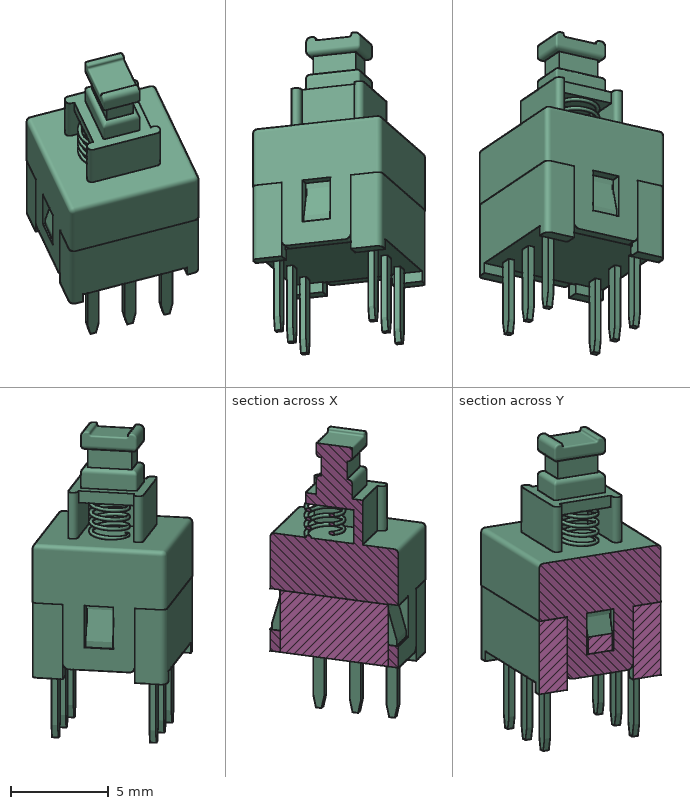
import cadquery as cq


FOOT_BOTTOM = 3.48
BASE_UNDERSIDE = 4.02
SEAM = 7.43
COVER_TOP = 10.51
GUIDE_CEILING = 12.33
GUIDE_TOP = 12.95
COLLAR_TOP = 13.99
HEAD_BOTTOM = 14.96
HEAD_TOP = 15.95

BODY_WIDTH = 7.0
COVER_ROUND = 0.25
BASE_ROUND = 0.3
POST_WIDTH = 1.63
FOOT_DEPTH = 0.69
FLAP_WIDTH = BODY_WIDTH - 2 * POST_WIDTH
FLAP_THICKNESS = 0.56
FLAP_CORNER_ROUND = 0.3

WINDOW_WIDTH = 1.52
WINDOW_BOTTOM = 5.22
CATCH_WIDTH = 1.4
CATCH_SETBACK = 0.104
CATCH_SLOPE_BOTTOM = 5.55
CATCH_SLOPE_TOP = 7.11

PIN_THICKNESS = 0.33
PIN_WIDTH = 0.6
PIN_TIP_WIDTH = 0.3
PIN_TAPER_HEIGHT = 0.7
PIN_ROW_X = 2.55
PIN_PITCH_Y = 2.0

GUIDE_WIDTH = 3.92
GUIDE_WEB_DEPTH = 3.11
GUIDE_WALL = 0.51
GUIDE_END_ROUND = 0.24

BUTTON_LENGTH = 2.93
BUTTON_DEPTH = 2.0
NECK_LENGTH = 2.3
NECK_DEPTH = 1.42
BUTTON_ROUND = 0.25
EDGE_ROUND = 0.1
RIDGE_ROUND = 0.29
RIDGE_FLAT = 0.1
RIDGE_INNER_ROUND = 0.1

SPRING_PITCH = 0.5
SPRING_TURNS = 4
SPRING_OUTER_RADIUS = 1.05
WIRE_RADIUS = 0.1
SPRING_Y = -0.77


def block(length, depth, bottom, top):
    """Box centred on the Z axis between two heights."""
    return cq.Workplane("XY").workplane(offset=bottom).rect(length, depth).extrude(top - bottom)


def both_sides(feature):
    """A feature of the front face together with its half-turn copy on the back face."""
    return feature.union(feature.rotate((0, 0, 0), (0, 0, 1), 180))


def flaps():
    """Tongues of the cover that hang between the corner posts, each with a window."""
    front_y = -BODY_WIDTH / 2
    flap_y = front_y + FLAP_THICKNESS / 2
    flap = block(FLAP_WIDTH, FLAP_THICKNESS, BASE_UNDERSIDE, SEAM).translate((0, flap_y, 0))
    flap = flap.edges("|Y and <Z").fillet(FLAP_CORNER_ROUND)
    window = block(WINDOW_WIDTH, FLAP_THICKNESS, WINDOW_BOTTOM, SEAM).translate((0, flap_y, 0))
    return both_sides(flap.cut(window))


def flap_recesses():
    """Full rectangular recesses of the base that receive the flaps."""
    recess = block(FLAP_WIDTH, FLAP_THICKNESS, FOOT_BOTTOM, SEAM)
    return both_sides(recess.translate((0, (FLAP_THICKNESS - BODY_WIDTH) / 2, 0)))


def catches():
    """Wedges that rise out of the base into the flap windows."""
    root_y = -BODY_WIDTH / 2 + FLAP_THICKNESS
    tip_y = -BODY_WIDTH / 2 + CATCH_SETBACK
    side_profile = [
        (root_y, WINDOW_BOTTOM),
        (tip_y, WINDOW_BOTTOM),
        (tip_y, CATCH_SLOPE_BOTTOM),
        (root_y, CATCH_SLOPE_TOP),
    ]
    wedge = cq.Workplane("YZ").polyline(side_profile).close().extrude(CATCH_WIDTH / 2, both=True)
    return both_sides(wedge)


def pin(x, y):
    """Flat pin with a tapered tip, starting at the underside of the base."""
    side_profile = [
        (-PIN_TIP_WIDTH / 2, 0),
        (PIN_TIP_WIDTH / 2, 0),
        (PIN_WIDTH / 2, PIN_TAPER_HEIGHT),
        (PIN_WIDTH / 2, BASE_UNDERSIDE),
        (-PIN_WIDTH / 2, BASE_UNDERSIDE),
        (-PIN_WIDTH / 2, PIN_TAPER_HEIGHT),
    ]
    blade = cq.Workplane("YZ").polyline(side_profile).close().extrude(PIN_THICKNESS / 2, both=True)
    return blade.translate((x, y, 0))


def make_base():
    """Base block on four corner feet, with flap recesses, catches and six pins."""
    base = block(BODY_WIDTH, BODY_WIDTH, FOOT_BOTTOM, SEAM).edges("|Z").fillet(BASE_ROUND)
    between_feet = block(BODY_WIDTH, BODY_WIDTH - 2 * FOOT_DEPTH, FOOT_BOTTOM, BASE_UNDERSIDE)
    between_posts = block(FLAP_WIDTH, BODY_WIDTH, FOOT_BOTTOM, BASE_UNDERSIDE)
    base = base.cut(between_feet).cut(between_posts).cut(flap_recesses()).union(catches())
    for x in (-PIN_ROW_X, PIN_ROW_X):
        for y in (-PIN_PITCH_Y, 0, PIN_PITCH_Y):
            base = base.union(pin(x, y))
    return base


def plunger_guide():
    """H-shaped guide whose front side is hollowed out to house the spring."""
    leg = block(GUIDE_WALL, GUIDE_WIDTH, COVER_TOP, GUIDE_TOP).edges("|Z").fillet(GUIDE_END_ROUND)
    leg_x = (GUIDE_WIDTH - GUIDE_WALL) / 2
    inner_width = GUIDE_WIDTH - 2 * GUIDE_WALL
    web = block(2 * leg_x, GUIDE_WEB_DEPTH, COVER_TOP, GUIDE_TOP)
    spring_pocket = block(inner_width, GUIDE_WEB_DEPTH, COVER_TOP, GUIDE_CEILING)
    web = web.cut(spring_pocket.translate((0, -GUIDE_WALL, 0)))
    return web.union(leg.translate((-leg_x, 0, 0))).union(leg.translate((leg_x, 0, 0)))


def collar():
    """Lower block of the button, rounded along its top edges."""
    body = block(BUTTON_LENGTH, BUTTON_DEPTH, GUIDE_TOP, COLLAR_TOP)
    return body.faces(">Z").edges().fillet(BUTTON_ROUND).edges("|Z").fillet(EDGE_ROUND)


def head():
    """Button head with a raised ridge at each end and a shallow trough between them."""
    half = BUTTON_LENGTH / 2
    base_x = half - BUTTON_ROUND
    ridge_outer_x = half - RIDGE_ROUND
    ridge_inner_x = ridge_outer_x - RIDGE_FLAT
    bend_x = ridge_inner_x - RIDGE_INNER_ROUND
    trough_x = bend_x - RIDGE_INNER_ROUND
    bend_z = HEAD_TOP - RIDGE_INNER_ROUND
    trough_z = bend_z - RIDGE_INNER_ROUND
    shoulder_z = HEAD_TOP - RIDGE_ROUND
    lower_shoulder_z = HEAD_BOTTOM + BUTTON_ROUND

    outline = (
        cq.Workplane("XZ")
        .moveTo(-base_x, HEAD_BOTTOM)
        .lineTo(base_x, HEAD_BOTTOM)
        .radiusArc((half, lower_shoulder_z), -BUTTON_ROUND)
        .lineTo(half, shoulder_z)
        .radiusArc((ridge_outer_x, HEAD_TOP), -RIDGE_ROUND)
        .lineTo(ridge_inner_x, HEAD_TOP)
        .radiusArc((bend_x, bend_z), -RIDGE_INNER_ROUND)
        .radiusArc((trough_x, trough_z), RIDGE_INNER_ROUND)
        .lineTo(-trough_x, trough_z)
        .radiusArc((-bend_x, bend_z), RIDGE_INNER_ROUND)
        .radiusArc((-ridge_inner_x, HEAD_TOP), -RIDGE_INNER_ROUND)
        .lineTo(-ridge_outer_x, HEAD_TOP)
        .radiusArc((-half, shoulder_z), -RIDGE_ROUND)
        .lineTo(-half, lower_shoulder_z)
        .radiusArc((-base_x, HEAD_BOTTOM), -BUTTON_ROUND)
        .close()
    )
    body = outline.extrude(BUTTON_DEPTH / 2, both=True)
    envelope = block(BUTTON_LENGTH, BUTTON_DEPTH, HEAD_BOTTOM, HEAD_TOP)
    envelope = envelope.edges("|X and <Z").fillet(BUTTON_ROUND)
    return body.intersect(envelope).edges("|Z").fillet(EDGE_ROUND)


def spring():
    """Left-hand coil whose two ends sink into the guide ceiling and the cover."""
    coil_radius = SPRING_OUTER_RADIUS - WIRE_RADIUS
    height = SPRING_PITCH * SPRING_TURNS
    path = cq.Wire.makeHelix(SPRING_PITCH, height, coil_radius, lefthand=True)
    wire = cq.Workplane("XZ").center(coil_radius, 0).circle(WIRE_RADIUS).sweep(path, isFrenet=True)
    return wire.rotate((0, 0, 0), (0, 0, 1), 90).translate((0, SPRING_Y, GUIDE_CEILING - height))


def make_cover():
    """Cover block with its flaps, plunger guide, button and spring."""
    cover = block(BODY_WIDTH, BODY_WIDTH, SEAM, COVER_TOP).edges("|Z or >Z").fillet(COVER_ROUND)
    neck = block(NECK_LENGTH, NECK_DEPTH, COLLAR_TOP, HEAD_BOTTOM)
    cover = cover.union(flaps()).union(plunger_guide())
    return cover.union(collar()).union(neck).union(head()).union(spring())


base = make_base()
cover = make_cover()

result = cq.Compound.makeCompound([base.solids().val(), cover.solids().val()])